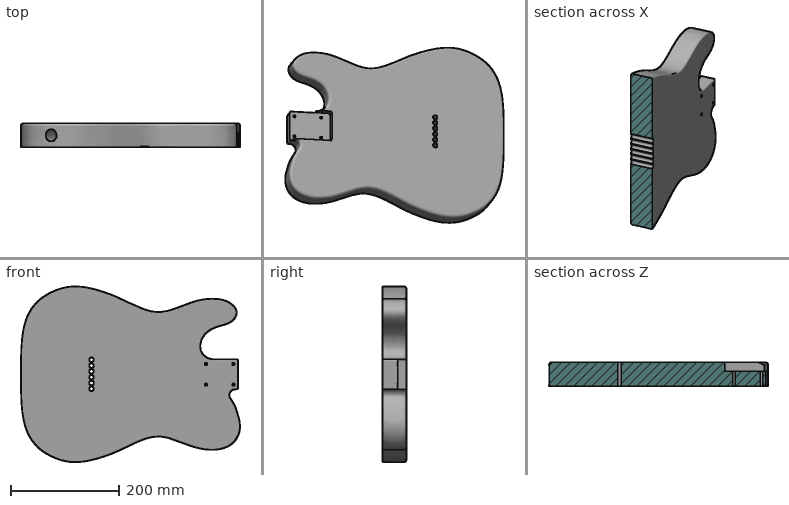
import cadquery as cq
import math

LENGTH = 405.0
THICKNESS = 44.5
WIDTH = 324.0

TAIL_X = -LENGTH / 2
HALF_WIDTH = WIDTH / 2
SCREW_FACE_Y = -THICKNESS / 2
POCKET_FACE_Y = THICKNESS / 2

SCREW_FACE_ROUNDING = 2.5
POCKET_FACE_ROUNDING = 5.0

HEEL_END_X = 199.0
HEEL_HALF_WIDTH = 28.0
HEEL_STRAIGHT_START_X = 152.0
HEEL_CORNER_RADIUS = 3.2

HEEL_THICKNESS = 28.0
POCKET_LENGTH = 76.0
POCKET_CORNER_RADIUS = 4.0
POCKET_OVERRUN = 8.0

STRING_COUNT = 6
STRING_PITCH = 10.75
STRING_HOLE_DIAMETER = 8.0
STRING_ROW_X = -72.0

SCREW_HOLE_DIAMETER = 4.0
SCREW_SPACING_X = 50.5
SCREW_SPACING_Z = 38.0
SCREW_CENTRE_X = 165.0

JACK_DIAMETER = 22.3
JACK_DEPTH = 40.5
JACK_X = -146.5
JACK_Z = 151.0
JACK_ANGLE = 62.0
JACK_START_OUTSIDE = 12.0

HORN_TOP = (150.7, 139.8)
WAIST = (53.5, 115.0)
BOUT_TOP = (-112.0, HALF_WIDTH)
SIDE_POINTS = [
    (-200.5, 65.5),
    (-190.5, 107.8),
    (-172.5, 133.5),
    (-146.5, 151.5),
    BOUT_TOP,
    (-60.0, 155.5),
    (-20.0, 140.5),
    (26.0, 120.0),
    WAIST,
    (83.0, 122.0),
    (123.0, 136.0),
    HORN_TOP,
]

UPPER_HORN_POINTS = [
    HORN_TOP,
    (183.5, 132.0),
    (196.5, 114.2),
    (188.8, 99.3),
    (158.5, 87.0),
    (138.0, 74.5),
    (129.0, 52.3),
    (134.5, 36.0),
    (HEEL_STRAIGHT_START_X, HEEL_HALF_WIDTH),
]

NOTCH_START_X = 195.3
LOWER_HORN_POINTS = [
    (NOTCH_START_X, -HEEL_HALF_WIDTH),
    (187.0, -30.0),
    (182.7, -38.0),
    (189.5, -52.3),
    (198.5, -74.0),
    (LENGTH / 2, -97.2),
    (191.5, -124.8),
    (HORN_TOP[0], -HORN_TOP[1]),
]


def mirrored(points):
    return [(x, -z) for x, z in reversed(points)]


def through_cylinders(centres, diameter):
    """Cylinders along Y, longer than the body is thick."""
    plane = cq.Workplane("XZ", origin=(0, THICKNESS, 0))
    return plane.pushPoints(centres).circle(diameter / 2).extrude(2 * THICKNESS)


def body_blank():
    """Full-thickness body with a square-cornered heel, its +Y rim already rounded."""
    side = mirrored(SIDE_POINTS) + [(TAIL_X, 0)] + SIDE_POINTS
    return (
        cq.Workplane("XZ", origin=(0, POCKET_FACE_Y, 0))
        .moveTo(*side[0])
        .spline(side[1:], tangents=[(-1, 0), (1, 0)], scale=False, includeCurrent=True)
        .spline(UPPER_HORN_POINTS[1:], tangents=[(1, 0), (1, 0)], scale=False, includeCurrent=True)
        .lineTo(HEEL_END_X, HEEL_HALF_WIDTH)
        .lineTo(HEEL_END_X, -HEEL_HALF_WIDTH)
        .lineTo(*LOWER_HORN_POINTS[0])
        .spline(LOWER_HORN_POINTS[1:], tangents=[(-1, 0), (-1, 0)], scale=False, includeCurrent=True)
        .close()
        .extrude(THICKNESS)
        .faces(">Y")
        .edges()
        .fillet(POCKET_FACE_ROUNDING)
    )


def neck_pocket():
    start_x = HEEL_END_X - POCKET_LENGTH
    length = POCKET_LENGTH + POCKET_OVERRUN
    floor_y = SCREW_FACE_Y + HEEL_THICKNESS
    return (
        cq.Workplane("XY")
        .box(length, THICKNESS, 2 * HEEL_HALF_WIDTH, centered=(False, False, True))
        .edges("|Y and <X")
        .fillet(POCKET_CORNER_RADIUS)
        .translate((start_x, floor_y, 0))
    )


def string_holes():
    first_z = -STRING_PITCH * (STRING_COUNT - 1) / 2
    centres = [(STRING_ROW_X, first_z + i * STRING_PITCH) for i in range(STRING_COUNT)]
    return through_cylinders(centres, STRING_HOLE_DIAMETER)


def screw_holes():
    centres = [
        (SCREW_CENTRE_X + i * SCREW_SPACING_X / 2, j * SCREW_SPACING_Z / 2)
        for i in (-1, 1)
        for j in (-1, 1)
    ]
    return through_cylinders(centres, SCREW_HOLE_DIAMETER)


def jack_hole():
    angle = math.radians(180 - JACK_ANGLE)
    outward = cq.Vector(math.cos(angle), 0, math.sin(angle))
    mouth = cq.Vector(JACK_X, 0, JACK_Z)
    start = mouth + outward * JACK_START_OUTSIDE
    return cq.Solid.makeCylinder(JACK_DIAMETER / 2, JACK_DEPTH + JACK_START_OUTSIDE, start, outward * -1)


def heel_corner_selector():
    """Picks the two corners of the heel's end, which run along Y."""
    margin = 0.5
    return cq.selectors.BoxSelector(
        (HEEL_END_X - margin, SCREW_FACE_Y, -HEEL_HALF_WIDTH - margin),
        (HEEL_END_X + margin, SCREW_FACE_Y + HEEL_THICKNESS, HEEL_HALF_WIDTH + margin),
    ) & cq.selectors.ParallelDirSelector(cq.Vector(0, 1, 0))


body = body_blank().cut(neck_pocket())
body = body.edges(heel_corner_selector()).fillet(HEEL_CORNER_RADIUS)
body = body.faces("<Y").edges().fillet(SCREW_FACE_ROUNDING)
result = body.cut(string_holes()).cut(screw_holes()).cut(jack_hole())